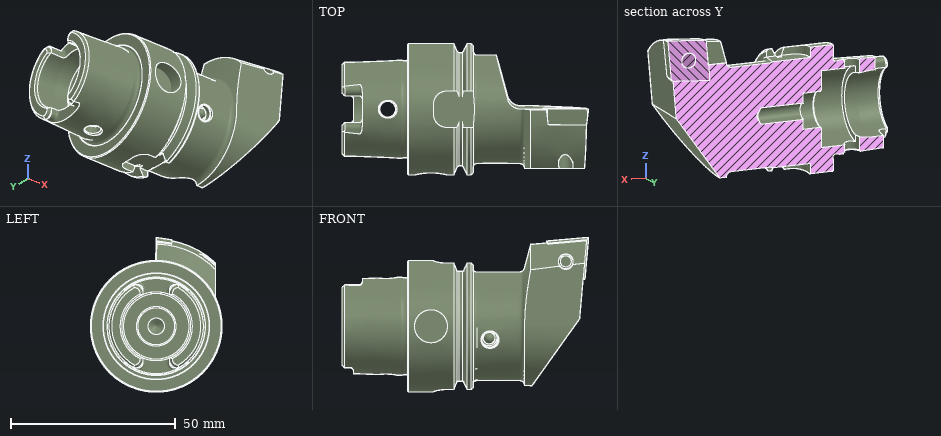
import cadquery as cq
import math


spigot_length = 20.0
spigot_end_radius = 14.3
spigot_end_chamfer = 0.8
taper_end_x = -2.0
taper_base_radius = 14.95
undercut_radius = 14.75
undercut_start_x = -1.2
root_fillet = 0.7
face_relief_depth = 0.15
face_relief_radius = 16.2

bore_radius = 10.45
bore_chamfer_width = 0.5
bore_chamfer_length = 0.75
bore_straight_end_x = -12.4
bore_throat_radius = 9.93
bore_throat_x = -7.9
bore_chamber_radius = 12.0
bore_floor_x = 4.0
recess_radius = 5.6
recess_chamfer = 0.4
recess_floor_x = 10.0
coolant_radius = 2.5
coolant_end_x = 24.0
drill_half_angle = 59.0

slot_half_width = 4.0
top_slot_end_x = -13.8
bottom_slot_end_x = -16.5
key_top_height = 12.7
key_corner_radius = 1.7
key_shelf_slope = 11.0
slot_corner_radius = 0.9
slot_mouth_chamfer = 0.95
slot_inner_height = 6.0
slot_outer_height = 17.0
slot_outer_half_width = 12.0

access_x = -6.1
access_radius = 2.4
access_rim_radius = 2.85
access_rim_height = 14.7

flange_radius = 20.0
flange_edge_chamfer = 0.3
flange_end_x = 19.9
groove_start_x = 14.0
groove_wall_foot_x = 15.0
groove_wall_foot_radius = 17.6
groove_floor_radius = 17.2
groove_floor_start_x = 15.6
groove_floor_end_x = 16.6
groove_end_x = 18.05
flange_rear_chamfer = 0.7

keyway_start_x = 7.8
keyway_half_width = 5.5
keyway_corner_radius = 4.0
keyway_floor_height = 16.75

chip_x = 7.05
chip_radius = 5.0
chip_floor_y = -15.4
chip_floor_fillet = 0.15

neck_radius = 16.5
neck_fillet = 1.1

head_radius = 18.05
head_back_angle = 15.0
head_back_foot_x = 35.05
head_back_fillet = 1.5
head_top_start_x = 37.3
lead_angle = 5.0
head_reach_x = 58.0
head_heel_x = 37.7
head_nose_x = 52.2
head_nose_z = 2.3
head_ceiling_z = 30.0
head_floor_z = -25.0
rake_angle = 1.8
rake_zero_z = 18.6

relief_top_x = 26.7
relief_slope = 15.0
relief_fillet = 4.0
relief_outer_y = 24.0
relief_half_height = 40.0

tip_x = 54.9
tip_z = 27.0
insert_circle = 12.7
insert_angle = 80.0
insert_thickness = 4.76
insert_clearance = 7.0
insert_nose_radius = 0.4

screw_radius = 2.23
screw_chamfer = 0.55
screw_length = 11.2
screw_hole_length = 22.0

plug_x = 24.97
plug_z = -4.15
plug_inclination = 7.0
plug_hole_radius = 2.4
plug_rim_radius = 2.7
plug_rim_depth = 0.5
ball_radius = 1.8
ball_depth = 2.3


def make_shank():
    root_x = face_relief_depth - root_fillet
    relief_floor_radius = face_relief_radius - face_relief_depth
    flange_rear_radius = flange_radius - flange_rear_chamfer
    return (
        cq.Workplane("XZ")
        .moveTo(-spigot_length, 0)
        .lineTo(-spigot_length, spigot_end_radius - spigot_end_chamfer)
        .lineTo(-spigot_length + spigot_end_chamfer, spigot_end_radius)
        .lineTo(taper_end_x, taper_base_radius)
        .lineTo(undercut_start_x, undercut_radius)
        .lineTo(root_x, undercut_radius)
        .tangentArcPoint((face_relief_depth, undercut_radius + root_fillet), relative=False)
        .lineTo(face_relief_depth, relief_floor_radius)
        .lineTo(0, face_relief_radius)
        .lineTo(0, flange_radius - flange_edge_chamfer)
        .lineTo(flange_edge_chamfer, flange_radius)
        .lineTo(groove_start_x, flange_radius)
        .lineTo(groove_wall_foot_x, groove_wall_foot_radius)
        .lineTo(groove_floor_start_x, groove_floor_radius)
        .lineTo(groove_floor_end_x, groove_floor_radius)
        .lineTo(groove_end_x, flange_radius)
        .lineTo(flange_end_x - flange_rear_chamfer, flange_radius)
        .lineTo(flange_end_x, flange_rear_radius)
        .lineTo(flange_end_x, neck_radius + neck_fillet)
        .tangentArcPoint((flange_end_x + neck_fillet, neck_radius), relative=False)
        .lineTo(head_back_foot_x, neck_radius)
        .lineTo(head_back_foot_x, 0)
        .close()
        .revolve(360, (0, 0, 0), (1, 0, 0))
    )


def make_bore():
    drill_tip = coolant_radius / math.tan(math.radians(drill_half_angle))
    return (
        cq.Workplane("XZ")
        .moveTo(-spigot_length, 0)
        .lineTo(-spigot_length, bore_radius + bore_chamfer_width)
        .lineTo(-spigot_length + bore_chamfer_length, bore_radius)
        .lineTo(bore_straight_end_x, bore_radius)
        .lineTo(bore_throat_x, bore_throat_radius)
        .lineTo(bore_throat_x, bore_chamber_radius)
        .lineTo(bore_floor_x, bore_chamber_radius)
        .lineTo(bore_floor_x, recess_radius + recess_chamfer)
        .lineTo(bore_floor_x + recess_chamfer, recess_radius)
        .lineTo(recess_floor_x, recess_radius)
        .lineTo(recess_floor_x, coolant_radius)
        .lineTo(coolant_end_x, coolant_radius)
        .lineTo(coolant_end_x + drill_tip, 0)
        .close()
        .revolve(360, (0, 0, 0), (1, 0, 0))
    )


def slot_section(growth):
    """Slot section on the spigot end, with every wall moved into the spigot by growth."""
    slope = math.radians(key_shelf_slope)
    radius = key_corner_radius
    wall_y = slot_half_width + growth
    arc_centre_z = key_top_height - growth - radius
    shelf_y = wall_y + radius + radius * math.sin(slope)
    shelf_z = arc_centre_z + radius * math.cos(slope)
    outer_y = slot_outer_half_width
    outer_z = shelf_z - (outer_y - shelf_y) * math.tan(slope)
    return (
        cq.Workplane("YZ", origin=(-spigot_length, 0, 0))
        .moveTo(-wall_y, slot_inner_height)
        .lineTo(wall_y, slot_inner_height)
        .lineTo(wall_y, arc_centre_z)
        .tangentArcPoint((shelf_y, shelf_z), relative=False)
        .lineTo(outer_y, outer_z)
        .lineTo(outer_y, slot_outer_height)
        .lineTo(-outer_y, slot_outer_height)
        .lineTo(-outer_y, outer_z)
        .lineTo(-shelf_y, shelf_z)
        .tangentArcPoint((-wall_y, arc_centre_z), relative=False)
        .close()
    )


def make_slot(end_x):
    slot = slot_section(0).extrude(end_x + spigot_length)
    slot = slot.faces(">X").edges().fillet(slot_corner_radius)
    mouth = slot_section(slot_mouth_chamfer).extrude(slot_mouth_chamfer, taper=45)
    return slot.union(mouth)


def make_access_hole():
    """Half of the cross hole, countersunk to the rim radius where it leaves the taper."""
    rim_depth = access_rim_radius - access_radius
    return (
        cq.Workplane("XZ", origin=(access_x, 0, 0))
        .lineTo(access_radius, 0)
        .lineTo(access_radius, access_rim_height - rim_depth)
        .lineTo(access_rim_radius, access_rim_height)
        .lineTo(access_rim_radius, flange_radius)
        .lineTo(0, flange_radius)
        .close()
        .revolve(360, (0, 0, 0), (0, 1, 0))
    )


def make_keyway():
    length = flange_end_x + neck_fillet - keyway_start_x
    return (
        cq.Workplane("XY", origin=(keyway_start_x + length / 2, 0, keyway_floor_height))
        .rect(length, 2 * keyway_half_width)
        .extrude(flange_radius)
        .edges("|Z and <X")
        .fillet(keyway_corner_radius)
        .intersect(cq.Workplane("YZ", origin=(keyway_start_x, 0, 0)).circle(2 * flange_radius).extrude(length))
    )


def make_chip_recess():
    return (
        cq.Workplane("XZ", origin=(chip_x, chip_floor_y, 0))
        .circle(chip_radius)
        .extrude(flange_radius)
        .faces(">Y")
        .edges()
        .fillet(chip_floor_fillet)
    )


def make_head():
    back = math.radians(head_back_angle)
    lead = math.tan(math.radians(lead_angle))
    fillet_reach = head_back_fillet * math.tan((math.pi / 2 - back) / 2)
    top_start_radius = neck_radius + (head_top_start_x - head_back_foot_x) / math.tan(back)
    top_end_radius = top_start_radius + (head_reach_x - head_top_start_x) * lead
    fillet_start_x = head_back_foot_x - fillet_reach
    fillet_end = (
        head_back_foot_x + fillet_reach * math.sin(back),
        neck_radius + fillet_reach * math.cos(back),
    )
    envelope = (
        cq.Workplane("XY")
        .moveTo(fillet_start_x - neck_fillet, 0)
        .lineTo(fillet_start_x - neck_fillet, neck_radius)
        .lineTo(fillet_start_x, neck_radius)
        .tangentArcPoint(fillet_end, relative=False)
        .lineTo(head_top_start_x, top_start_radius)
        .lineTo(head_reach_x, top_end_radius)
        .lineTo(head_reach_x, 0)
        .close()
        .revolve(360, (0, 0, 0), (1, 0, 0))
    )
    section = cq.Workplane("YZ").circle(head_radius).extrude(head_reach_x)
    upper_side = (
        cq.Workplane("YZ")
        .rect(-head_radius, head_ceiling_z, centered=False)
        .extrude(head_reach_x)
    )
    heel_slope = (head_nose_x - head_heel_x) / (head_nose_z + head_radius)
    heel_bottom_x = head_heel_x - heel_slope * (-head_radius - head_floor_z)
    outline = (
        cq.Workplane("XZ")
        .moveTo(0, head_floor_z)
        .lineTo(heel_bottom_x, head_floor_z)
        .lineTo(head_nose_x, head_nose_z)
        .lineTo(head_nose_x + (head_ceiling_z - head_nose_z) * lead, head_ceiling_z)
        .lineTo(0, head_ceiling_z)
        .close()
        .extrude(flange_radius + head_radius, both=True)
    )
    return envelope.intersect(section.union(upper_side)).intersect(outline)


def make_rake_relief():
    """Clearance beside the rake face, tilted about X by the rake angle."""
    slope = math.radians(relief_slope)
    face_y = 0.0
    foot_x = relief_top_x + (neck_radius - face_y) * math.tan(slope)
    outer_x = relief_top_x - (relief_outer_y - neck_radius) * math.tan(slope)
    reach = relief_fillet * math.tan((math.pi / 2 - slope) / 2)
    wall_end = (foot_x - reach * math.sin(slope), face_y + reach * math.cos(slope))
    return (
        cq.Workplane("XY")
        .moveTo(outer_x, relief_outer_y)
        .lineTo(*wall_end)
        .tangentArcPoint((foot_x + reach, face_y), relative=False)
        .lineTo(head_reach_x, face_y)
        .lineTo(head_reach_x, relief_outer_y)
        .close()
        .extrude(relief_half_height, both=True)
        .rotate((0, 0, 0), (1, 0, 0), rake_angle)
        .translate((0, 0, rake_zero_z))
    )


lead = math.radians(lead_angle)
half_corner = math.radians(insert_angle) / 2
insert_edge = insert_circle / math.sin(2 * half_corner)
top_edge = cq.Vector(-math.cos(lead), 0, -math.sin(lead)) * insert_edge
end_edge_angle = lead + 2 * half_corner
end_edge = cq.Vector(-math.cos(end_edge_angle), 0, -math.sin(end_edge_angle)) * insert_edge
nose_centre = cq.Vector(tip_x - insert_nose_radius, 0, tip_z - insert_nose_radius)
diagonal = (top_edge + end_edge).normalized()
insert_corner = nose_centre - diagonal * (insert_nose_radius / math.sin(half_corner))
insert_centre = insert_corner + (top_edge + end_edge) * 0.5


def tilt_with_rake(body):
    return body.rotate((0, 0, tip_z), (1, 0, tip_z), rake_angle)


def make_insert_blank():
    corners = [
        insert_corner,
        insert_corner + top_edge,
        insert_corner + top_edge + end_edge,
        insert_corner + end_edge,
    ]
    outline = cq.Wire.makePolygon(corners, close=True)
    outline = outline.fillet2D(insert_nose_radius, outline.Vertices())
    blank = (
        cq.Workplane("XZ")
        .add(outline)
        .toPending()
        .extrude(insert_thickness, taper=insert_clearance)
    )
    return tilt_with_rake(blank)


def screw_rod(length):
    rod = cq.Workplane("XZ", origin=insert_centre.toTuple()).circle(screw_radius).extrude(length)
    return rod


def make_insert_screw():
    return tilt_with_rake(screw_rod(screw_length).faces("<Y").edges().chamfer(screw_chamfer))


plug_y = -math.sqrt(neck_radius**2 - plug_z**2)
plug_mouth = cq.Vector(plug_x, plug_y, plug_z)
lean = math.radians(plug_inclination)
inward = cq.Vector(-math.sin(lean), 0, 0) + cq.Vector(0, -plug_y, -plug_z).normalized() * math.cos(lean)
ball_centre = plug_mouth + inward * ball_depth


def make_plug_ball():
    return cq.Workplane("XY").sphere(ball_radius).translate(ball_centre)


def make_plug_hole():
    start = plug_mouth - inward * plug_hole_radius
    bore = cq.Solid.makeCylinder(plug_hole_radius, plug_hole_radius + ball_depth, start, inward)
    rim = cq.Solid.makeCylinder(plug_rim_radius, plug_hole_radius + plug_rim_depth, start, inward)
    return cq.Workplane(bore).union(cq.Workplane(rim)).union(make_plug_ball())


def make_holder():
    holder = make_shank().union(make_head())
    holder = holder.cut(make_bore())
    holder = holder.cut(make_slot(top_slot_end_x))
    holder = holder.cut(make_slot(bottom_slot_end_x).rotate((0, 0, 0), (1, 0, 0), 180))
    for turn in (0, 180):
        holder = holder.cut(make_access_hole().rotate((0, 0, 0), (1, 0, 0), turn))
        holder = holder.cut(make_keyway().rotate((0, 0, 0), (1, 0, 0), turn))
    holder = holder.cut(make_chip_recess())
    holder = holder.cut(make_rake_relief())
    holder = holder.cut(make_insert_blank())
    holder = holder.cut(tilt_with_rake(screw_rod(screw_hole_length)))
    holder = holder.cut(make_plug_hole())
    return holder


holder = make_holder()
insert_screw = make_insert_screw()
cutting_insert = make_insert_blank().cut(insert_screw)
plug_ball = make_plug_ball()

result = cq.Compound.makeCompound(
    [holder.val(), cutting_insert.val(), insert_screw.val(), plug_ball.val()]
)